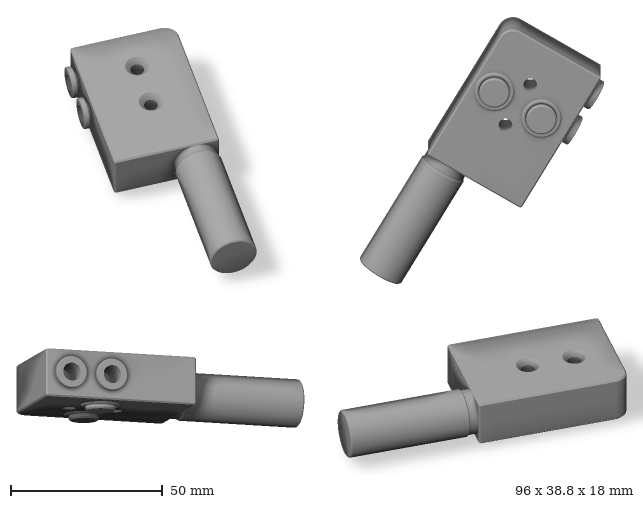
import cadquery as cq

block_length = 52.0
block_depth = 36.0
block_height = 16.0
corner_radius = 5.0
edge_chamfer = 0.5

hole_diameter = 4.5
countersink_diameter = 8.0
countersink_angle = 90.0
hole_pitch = 16.0
hole_row_x = 22.0
hole_row_y = 19.0

overall_length = 96.0
cylinder_diameter = block_height
cylinder_neck_diameter = 15.0
cylinder_neck_length = 3.0
cylinder_chamfer = 0.4
cylinder_y = block_depth - cylinder_diameter / 2
cylinder_z = block_height / 2

fitting_positions_x = (8.0, hole_row_x)
fitting_z = block_height / 2
fitting_projection = 2.8
fitting_neck_length = 0.8
fitting_neck_diameter = 6.6
fitting_diameter = 10.5
fitting_front_chamfer = 0.2
fitting_back_chamfer = 0.4
bore_diameter = 6.0
bore_depth = 12.0

spigot_pitch = 18.0
spigot_diameter = 10.0
spigot_projection = 2.0
spigot_chamfer = 0.5
ring_section = 1.6
ring_projection = 0.6

hole_centres = [(hole_row_x + side * hole_pitch / 2, hole_row_y) for side in (-1, 1)]
spigot_centres = [(hole_row_x, hole_row_y + side * spigot_pitch / 2) for side in (-1, 1)]

spigot_radius = spigot_diameter / 2
ring_outer_radius = spigot_radius + ring_section
ring_centre_radius = spigot_radius + ring_section / 2
ring_centre_z = ring_section / 2 - ring_projection
groove_depth = ring_section - ring_projection


def make_block():
    """Rectangular block with one rounded vertical corner and every edge chamfered."""
    block = cq.Workplane("XY").box(block_length, block_depth, block_height, centered=False)
    block = block.edges("|Z and (not (<X and >Y))").chamfer(edge_chamfer)
    block = block.edges("|Z and <X and >Y").fillet(corner_radius)
    return block.faces("<Z or >Z").edges().chamfer(edge_chamfer)


def make_cylinder():
    """Cylinder along X on a slightly thinner neck."""
    body_start = block_length + cylinder_neck_length
    end_plane = cq.Plane(
        origin=(block_length, cylinder_y, cylinder_z), xDir=(0, 1, 0), normal=(1, 0, 0)
    )
    neck = cq.Workplane(end_plane).circle(cylinder_neck_diameter / 2).extrude(cylinder_neck_length)
    body = (
        cq.Workplane(end_plane)
        .workplane(offset=cylinder_neck_length)
        .circle(cylinder_diameter / 2)
        .extrude(overall_length - body_start)
        .faces("<X or >X")
        .chamfer(cylinder_chamfer)
    )
    return neck.union(body)


def make_fitting(x):
    """Collar on a thin neck, revolved about an axis along Y through the front face."""
    radius = fitting_diameter / 2
    neck_radius = fitting_neck_diameter / 2
    collar_back = -fitting_neck_length
    front = -fitting_projection
    return (
        cq.Workplane("XY", origin=(x, 0, fitting_z))
        .moveTo(0, 0)
        .lineTo(neck_radius, 0)
        .lineTo(neck_radius, collar_back)
        .lineTo(radius - fitting_back_chamfer, collar_back)
        .lineTo(radius, collar_back - fitting_back_chamfer)
        .lineTo(radius, front + fitting_front_chamfer)
        .lineTo(radius - fitting_front_chamfer, front)
        .lineTo(0, front)
        .close()
        .revolve(360, (0, 0, 0), (0, 1, 0))
    )


def make_bore(x):
    """Blind tube bore, running back from the front of a fitting."""
    front_plane = cq.Plane(
        origin=(x, -fitting_projection, fitting_z), xDir=(1, 0, 0), normal=(0, 1, 0)
    )
    return cq.Workplane(front_plane).circle(bore_diameter / 2).extrude(bore_depth)


def make_spigots():
    """Round spigots under the block, chamfered at the free end."""
    return (
        cq.Workplane("XY")
        .pushPoints(spigot_centres)
        .circle(spigot_radius)
        .extrude(-spigot_projection)
        .faces("<Z")
        .chamfer(spigot_chamfer)
    )


def make_grooves():
    """Annular grooves in the underside that seat the O-rings."""
    return (
        cq.Workplane("XY")
        .pushPoints(spigot_centres)
        .circle(ring_outer_radius)
        .circle(spigot_radius)
        .extrude(groove_depth)
    )


def make_housing():
    """Block with its cylinder, fittings, spigots, grooves and mounting holes."""
    housing = make_block().cut(make_grooves()).union(make_cylinder()).union(make_spigots())
    for x in fitting_positions_x:
        housing = housing.union(make_fitting(x)).cut(make_bore(x))
    return (
        housing.copyWorkplane(cq.Workplane("XY", origin=(0, 0, block_height)))
        .pushPoints(hole_centres)
        .cskHole(hole_diameter, countersink_diameter, countersink_angle)
    )


def make_ring(centre):
    """O-ring around a spigot, partly sunk in its groove."""
    x, y = centre
    return (
        cq.Workplane("XZ", origin=(x, y, 0))
        .center(ring_centre_radius, ring_centre_z)
        .circle(ring_section / 2)
        .revolve(360, (-ring_centre_radius, 0, 0), (-ring_centre_radius, 1, 0))
    )


housing = make_housing().solids()
rings = [make_ring(centre) for centre in spigot_centres]

result = cq.Compound.makeCompound([housing.val(), *[ring.val() for ring in rings]])